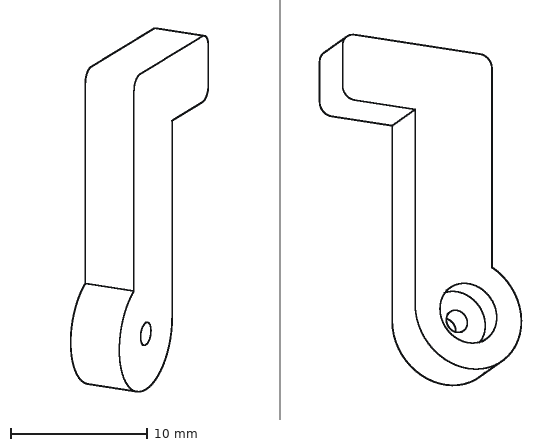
import cadquery as cq

thickness = 4.0
total_height = 24.6
total_width = 14.5
eye_radius = 4.3
stem_width = 6.22
arm_height = 5.1
corner_radius = 0.98
hole_diameter = 1.7
counterbore_diameter = 4.6
counterbore_depth = 2.0

stem_back = eye_radius
stem_front = stem_back - stem_width
arm_tip = total_width - eye_radius
top = total_height - eye_radius
arm_bottom = top - arm_height


def block(y_min, y_max, z_min, z_max):
    """Full-thickness rectangular block spanning the given Y and Z limits."""
    return cq.Workplane("XY").box(
        thickness, y_max - y_min, z_max - z_min, centered=False
    ).translate((0, y_min, z_min))


def disc(diameter, length):
    """Cylinder along +X from the -X face, on the eye's axis."""
    return cq.Workplane("YZ").circle(diameter / 2).extrude(length)


stem = block(stem_front, stem_back, 0, top)
arm = block(stem_front, arm_tip, arm_bottom, top)
lever = stem.union(arm)
lever = lever.edges("|X and (>Y or >Z)").fillet(corner_radius)

eye = disc(2 * eye_radius, thickness)
result = (
    lever.union(eye)
    .cut(disc(hole_diameter, thickness))
    .cut(disc(counterbore_diameter, counterbore_depth))
)